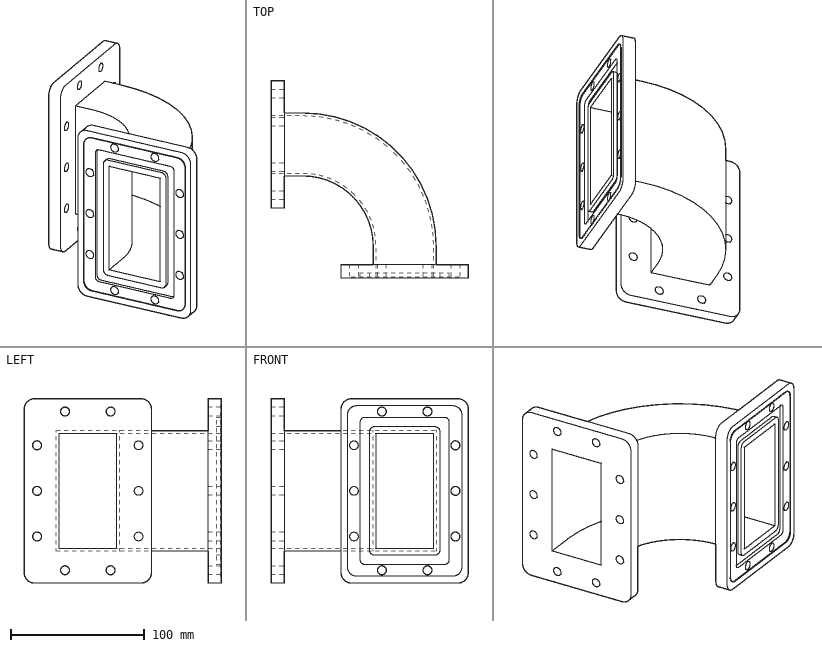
import cadquery as cq

overall_length = 147.6

flange_width = 95.4
flange_height = 138.0
flange_thickness = 10.0
flange_corner_radius = 8.0

duct_width = 47.2
duct_height = 90.0
bore_width = 43.1
bore_height = 86.2

leg_end = 23.9
axis_offset = overall_length - flange_width / 2
bend_radius = axis_offset - leg_end

bolt_diameter = 6.5
bolt_pitch = 34.1
bolt_column_spacing = 75.9
bolt_row_spacing = 118.7

recess_width = 85.6
recess_height = 127.4
recess_corner_radius = 6.8
recess_depth = 0.7
groove_outer_width = 66.6
groove_outer_height = 109.9
groove_outer_radius = 3.2
groove_inner_width = 52.9
groove_inner_height = 96.1
groove_inner_radius = 4.0
groove_depth = 3.7

front_face = cq.Plane(origin=(axis_offset, 0, 0), xDir=(1, 0, 0), normal=(0, -1, 0))
side_face = cq.Plane(origin=(0, axis_offset, 0), xDir=(0, -1, 0), normal=(-1, 0, 0))


def box_behind(face, width, height, depth):
    """Rectangular block reaching inward from a port face."""
    return cq.Workplane(face).rect(width, height).extrude(-depth)


def axis_of(face):
    """Name of the axis that a port face is square to."""
    return "X" if abs(face.zDir.x) > abs(face.zDir.y) else "Y"


def rounded_box_behind(face, width, height, depth, radius):
    """Block reaching inward from a port face, with rounded corners."""
    return box_behind(face, width, height, depth).edges("|" + axis_of(face)).fillet(radius)


def bolt_holes(face):
    """Three holes on each long side of the flange and two on each short side."""
    columns = [
        (side * bolt_column_spacing / 2, step * bolt_pitch)
        for side in (-1, 1)
        for step in (-1, 0, 1)
    ]
    rows = [
        (step * bolt_pitch / 2, side * bolt_row_spacing / 2)
        for side in (-1, 1)
        for step in (-1, 1)
    ]
    holes = cq.Workplane(face).pushPoints(columns + rows)
    return holes.circle(bolt_diameter / 2).extrude(-flange_thickness)


def quarter_bend(width, height):
    """Rectangular section swept a quarter turn from the front leg to the side leg."""
    section = cq.Workplane("XZ", origin=(leg_end, leg_end, 0)).center(bend_radius, 0)
    return section.rect(width, height).revolve(90, (-bend_radius, 0), (-bend_radius, 1))


def sealing_recess(face):
    """Shallow recess over the flange face, deepened by a groove around the bore."""
    recess = rounded_box_behind(face, recess_width, recess_height, recess_depth, recess_corner_radius)
    groove = rounded_box_behind(
        face, groove_outer_width, groove_outer_height, groove_depth, groove_outer_radius
    )
    island = rounded_box_behind(
        face, groove_inner_width, groove_inner_height, groove_depth, groove_inner_radius
    )
    return recess.union(groove.cut(island))


body = quarter_bend(duct_width, duct_height)
bore = quarter_bend(bore_width, bore_height)
for port in (front_face, side_face):
    leg = box_behind(port, duct_width, duct_height, leg_end)
    flange = rounded_box_behind(port, flange_width, flange_height, flange_thickness, flange_corner_radius)
    body = body.union(leg).union(flange)
    bore = bore.union(box_behind(port, bore_width, bore_height, leg_end))

result = body.cut(bore).cut(sealing_recess(front_face))
for port in (front_face, side_face):
    result = result.cut(bolt_holes(port))